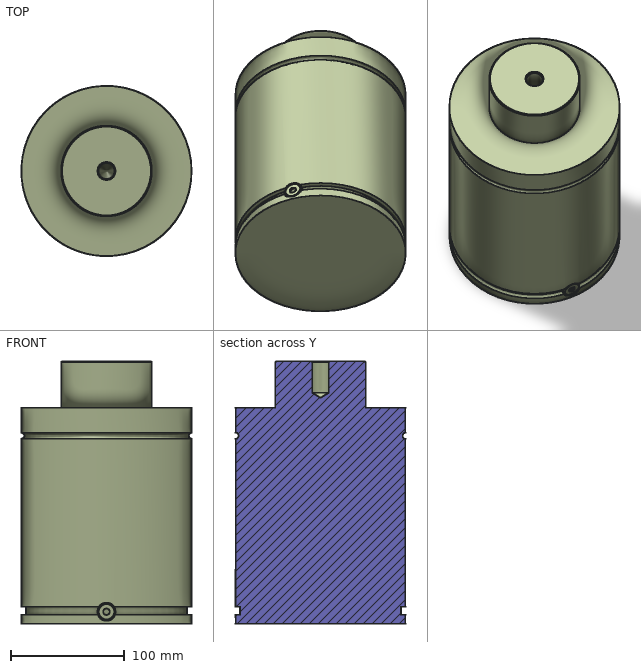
import cadquery as cq
import math

height = 231.0
body_diameter = 150.0
body_radius = body_diameter / 2

rod_diameter = 80.0
rod_chamfer = 1.0
shoulder_height = 190.0

round_groove_radius = 2.5
round_groove_height = 165.5

base_groove_bottom = 8.0
base_groove_top = 15.0
base_groove_depth = 4.0

rod_hole_diameter = 14.0
rod_hole_mouth_diameter = 16.0
rod_hole_depth = 27.7
drill_tip_angle = 118.0

port_height = 10.6
port_diameter = 16.0
port_depth = 9.2
plug_setback = 0.35
plug_chamfer = 1.2
plug_recess_diameter = 5.8
plug_recess_depth = 1.6


def make_body():
    """Stepped cylinder with its two ring grooves."""
    body = cq.Workplane("XY").circle(body_radius).extrude(shoulder_height)
    rod = (
        cq.Workplane("XY")
        .circle(rod_diameter / 2)
        .extrude(height)
        .faces(">Z")
        .chamfer(rod_chamfer)
    )
    round_groove = (
        cq.Workplane("XZ")
        .center(body_radius, round_groove_height)
        .circle(round_groove_radius)
        .revolve(360, (-body_radius, 0), (-body_radius, 1))
    )
    base_groove = (
        cq.Workplane("XY", origin=(0, 0, base_groove_bottom))
        .circle(body_radius)
        .circle(body_radius - base_groove_depth)
        .extrude(base_groove_top - base_groove_bottom)
    )
    return body.union(rod).cut(round_groove).cut(base_groove)


def make_rod_hole():
    """Blind hole with a chamfered mouth and a conical drill tip."""
    hole_radius = rod_hole_diameter / 2
    mouth_radius = rod_hole_mouth_diameter / 2
    mouth_depth = mouth_radius - hole_radius
    tip_length = hole_radius / math.tan(math.radians(drill_tip_angle / 2))
    return (
        cq.Workplane("XZ")
        .moveTo(0, height)
        .lineTo(mouth_radius, height)
        .lineTo(hole_radius, height - mouth_depth)
        .lineTo(hole_radius, height - rod_hole_depth)
        .lineTo(0, height - rod_hole_depth - tip_length)
        .close()
        .revolve(360, (0, 0), (0, 1))
    )


def port_cylinder(diameter, setback, end_depth):
    """Cylinder along Y between two depths below the outermost point of the body."""
    return (
        cq.Workplane("XZ", origin=(0, -body_radius + setback, port_height))
        .circle(diameter / 2)
        .extrude(setback - end_depth)
    )


def add_port(part):
    """Plug that stands across the base groove, seated just below the body surface."""
    seat = port_cylinder(port_diameter, 0, port_depth)
    plug = port_cylinder(port_diameter, plug_setback, port_depth).faces("<Y").chamfer(plug_chamfer)
    recess = port_cylinder(plug_recess_diameter, plug_setback, plug_setback + plug_recess_depth)
    return part.cut(seat).union(plug).cut(recess)


result = add_port(make_body().cut(make_rod_hole()))